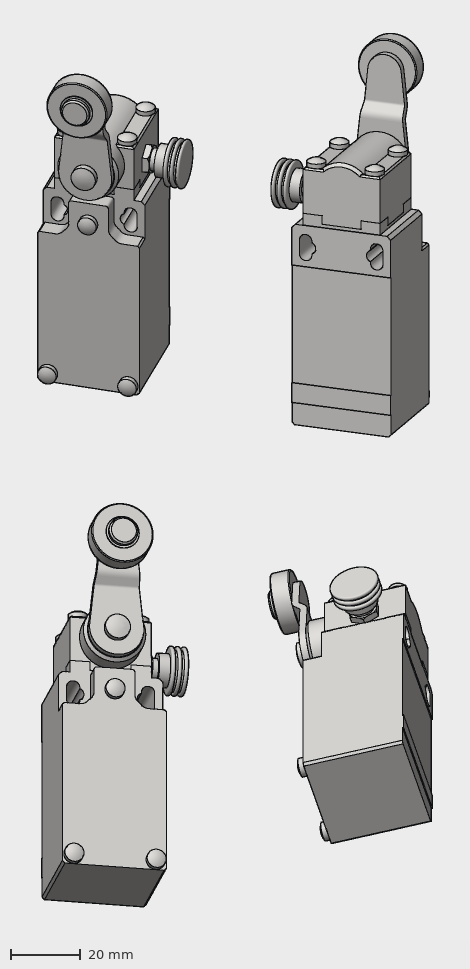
import cadquery as cq
import math


HOUSING_WIDTH = 30.5
HOUSING_DEPTH = 29.7
SHOULDER_Z = 61.2
TOP_CHAMFER = 1.1
BOTTOM_CHAMFER = 0.8

HEAD_WIDTH = 23.9
HEAD_DEPTH = 24.2
HEAD_MID_Y = -HEAD_DEPTH / 2
JOINT_Z = 64.7
DECK_Z = 78.6
HEAD_EDGE_CHAMFER = 0.5
TONGUE_WIDTH = 12.0
TONGUE_Z = 62.1

PAD_HEIGHT = 0.3
UPPER_PAD_Z = 48.6
LOWER_PAD_BOTTOM_Z = 6.8
LOWER_PAD_TOP_Z = 12.8

PANEL_WIDTH = 11.9
PANEL_TOP_FILLET = 0.9
EAR_FLOOR_Z = 49.5
EAR_SLOPE = 2.9
EAR_SLOPE_FILLET = 2.7
EAR_EDGE_CHAMFER = 0.5

SLOT_X = 11.0
SLOT_WIDTH = 3.9
SLOT_LENGTH = 8.0
ROUND_HOLE_X = 9.7
ROUND_HOLE_RADIUS = 1.8
MOUNTING_Z = 54.5

HOUSING_SCREW = (2.8, 1.6, 0.8)
HEAD_SCREW = (2.8, 1.4, 1.1)
PIVOT_SCREW = (3.7, 1.9, 0.6)
BOTTOM_SCREW_X = 12.0
BOTTOM_SCREW_Z = 2.9
HEAD_SCREW_SPACING = 18.1

DRUM_RADIUS = 9.1
DRUM_Z = 72.1
DRUM_FRONT_Y = -30.9
DRUM_CHAMFER = 1.0

KNOB_Z = 68.5
NUT_ACROSS_CORNERS = 9.2
NUT_LENGTH = 2.0
NUT_CORNER_BEVEL = 0.4
STEM_RADIUS = 3.3
STEM_LENGTH = 1.8
COLLAR_RADIUS = 4.9
COLLAR_LENGTH = 3.2
GRIP_LENGTH = 4.9
RIB_RADIUS = 7.2
RIB_CORE_RADIUS = 6.1
RIB_COUNT = 3
RIB_WIDTH = 1.2
RIB_FILLET = 0.5

LEVER_THICKNESS = 2.2
LEVER_OFFSET = 2.6
LEVER_BOTTOM_RADIUS = 8.0
LEVER_TOP_RADIUS = 5.2
BEND_BOTTOM_Z = 85.4
BEND_TOP_Z = 88.5
BEND_INNER_RADIUS = 1.1

ROLLER_RADIUS = 9.0
ROLLER_Z = 107.5 - ROLLER_RADIUS
ROLLER_FRONT_Y = -41.4
ROLLER_CHAMFER = 0.3
WASHER_RADIUS = 4.8
WASHER_THICKNESS = 0.3
PIN_RADIUS = 4.2
PIN_LENGTH = 1.6
PIN_CHAMFER = 0.5


def block(x_range, y_range, z_range):
    """Axis-aligned box between the given limits."""
    sizes = [limits[1] - limits[0] for limits in (x_range, y_range, z_range)]
    corner = (x_range[0], y_range[0], z_range[0])
    return cq.Workplane("XY").box(*sizes, centered=False).translate(corner)


def centred_block(width, y_range, z_range):
    """Box that is symmetrical about X = 0."""
    return block((-width / 2, width / 2), y_range, z_range)


def front_disc(radius, x, z, back_y, front_y):
    """Cylinder along Y."""
    plane = cq.Workplane("XZ", origin=(x, back_y, z))
    return plane.circle(radius).extrude(back_y - front_y)


def side_disc(radius, start_x, length):
    """Cylinder on the knob axis, extending towards +X."""
    plane = cq.Workplane("YZ", origin=(start_x, HEAD_MID_Y, KNOB_Z))
    return plane.circle(radius).extrude(length)


def screw_head(size):
    """Domed screw head standing on the XY plane."""
    radius, side, dome = size
    sphere_radius = (radius**2 + dome**2) / (2 * dome)
    half_angle = math.asin(radius / sphere_radius) / 2
    mid_x = sphere_radius * math.sin(half_angle)
    mid_z = side + dome - sphere_radius * (1 - math.cos(half_angle))
    profile = (
        cq.Workplane("XZ")
        .lineTo(radius, 0)
        .lineTo(radius, side)
        .threePointArc((mid_x, mid_z), (0, side + dome))
        .close()
    )
    return profile.revolve(360, (0, 0, 0), (0, 1, 0))


def front_screw(size, x, y, z):
    """Screw head facing -Y."""
    return screw_head(size).rotate((0, 0, 0), (1, 0, 0), 90).translate((x, y, z))


def tongue_cross():
    """Crossed tongues under the head, which key into the housing neck."""
    z_range = (TONGUE_Z, JOINT_Z)
    along_y = centred_block(TONGUE_WIDTH, (-HEAD_DEPTH, 0), z_range)
    half = TONGUE_WIDTH / 2
    along_x = centred_block(HEAD_WIDTH, (HEAD_MID_Y - half, HEAD_MID_Y + half), z_range)
    return along_y.union(along_x)


def ear_cut():
    """
    Space in front of the ear on the +X side, with a blended slope at its inner bottom corner
    and a bevel where its floor meets the side of the housing.
    """
    inner_x = PANEL_WIDTH / 2
    side_x = HOUSING_WIDTH / 2
    outline = [
        (inner_x, SHOULDER_Z),
        (inner_x, EAR_FLOOR_Z + EAR_SLOPE),
        (inner_x + EAR_SLOPE, EAR_FLOOR_Z),
        (side_x - EAR_EDGE_CHAMFER, EAR_FLOOR_Z),
        (side_x, EAR_FLOOR_Z - EAR_EDGE_CHAMFER),
        (side_x, SHOULDER_Z),
    ]
    cut = cq.Workplane("XZ", origin=(0, -HEAD_DEPTH, 0)).polyline(outline).close()
    cut = cut.extrude(HOUSING_DEPTH - HEAD_DEPTH)
    mid_y = -(HEAD_DEPTH + HOUSING_DEPTH) / 2
    slope_ends = (
        (inner_x, mid_y, EAR_FLOOR_Z + EAR_SLOPE),
        (inner_x + EAR_SLOPE, mid_y, EAR_FLOOR_Z),
    )
    for point in slope_ends:
        cut = cut.edges(cq.selectors.NearestToPointSelector(point)).fillet(EAR_SLOPE_FILLET)
    return cut


def mounting_hole():
    """Through hole in the ear on the +X side."""
    back_y = PAD_HEIGHT
    slot = cq.Workplane("XZ", origin=(SLOT_X, back_y, MOUNTING_Z)).slot2D(SLOT_LENGTH, SLOT_WIDTH, 90)
    slot = slot.extrude(HOUSING_DEPTH)
    return slot.union(front_disc(ROUND_HOLE_RADIUS, ROUND_HOLE_X, MOUNTING_Z, back_y, -HOUSING_DEPTH))


def make_housing():
    body = centred_block(HOUSING_WIDTH, (-HOUSING_DEPTH, 0), (0, SHOULDER_Z))
    pad_y = (0, PAD_HEIGHT)
    body = body.union(centred_block(HOUSING_WIDTH, pad_y, (UPPER_PAD_Z, SHOULDER_Z)))
    body = body.union(centred_block(HOUSING_WIDTH, pad_y, (LOWER_PAD_BOTTOM_Z, LOWER_PAD_TOP_Z)))
    body = body.edges("|Y and >Z").chamfer(TOP_CHAMFER)
    body = body.edges("|Y and <Z").chamfer(BOTTOM_CHAMFER)

    ear = ear_cut()
    hole = mounting_hole()
    for cutter in (ear, hole):
        body = body.cut(cutter).cut(cutter.mirror("YZ"))
    panel_corners = cq.selectors.BoxSelector(
        (-PANEL_WIDTH, -HOUSING_DEPTH, SHOULDER_Z - PANEL_TOP_FILLET),
        (PANEL_WIDTH, -HEAD_DEPTH, SHOULDER_Z + PANEL_TOP_FILLET),
    )
    body = body.edges("|Y").edges(panel_corners).fillet(PANEL_TOP_FILLET)

    neck = centred_block(HEAD_WIDTH, (-HEAD_DEPTH, 0), (SHOULDER_Z, JOINT_Z))
    body = body.union(neck).cut(tongue_cross())

    body = body.union(front_screw(HOUSING_SCREW, 0, -HOUSING_DEPTH, MOUNTING_Z))
    for x in (-BOTTOM_SCREW_X, BOTTOM_SCREW_X):
        body = body.union(front_screw(HOUSING_SCREW, x, -HOUSING_DEPTH, BOTTOM_SCREW_Z))
    return body


def make_nut():
    """Hexagonal nut against the head, with its outer corners bevelled."""
    start_x = HEAD_WIDTH / 2
    plane = cq.Workplane("YZ", origin=(start_x, HEAD_MID_Y, KNOB_Z))
    hexagon = plane.transformed(rotate=(0, 0, 90)).polygon(6, NUT_ACROSS_CORNERS).extrude(NUT_LENGTH)
    envelope = side_disc(NUT_ACROSS_CORNERS / 2, start_x, NUT_LENGTH)
    return hexagon.intersect(envelope.faces(">X").chamfer(NUT_CORNER_BEVEL))


def make_knob():
    """Nut, stem, collar and ribbed grip standing on the +X side of the head."""
    stem_x = HEAD_WIDTH / 2 + NUT_LENGTH
    collar_x = stem_x + STEM_LENGTH
    grip_x = collar_x + COLLAR_LENGTH
    rib_pitch = (GRIP_LENGTH - RIB_WIDTH) / (RIB_COUNT - 1)
    knob = make_nut()
    knob = knob.union(side_disc(STEM_RADIUS, stem_x, STEM_LENGTH))
    knob = knob.union(side_disc(COLLAR_RADIUS, collar_x, COLLAR_LENGTH))
    knob = knob.union(side_disc(RIB_CORE_RADIUS, grip_x, GRIP_LENGTH))
    for index in range(RIB_COUNT):
        rib = side_disc(RIB_RADIUS, grip_x + index * rib_pitch, RIB_WIDTH)
        knob = knob.union(rib.edges().fillet(RIB_FILLET))
    return knob


def make_head():
    head = centred_block(HEAD_WIDTH, (-HEAD_DEPTH, 0), (JOINT_Z, DECK_Z))
    head = head.faces(">Z").chamfer(HEAD_EDGE_CHAMFER)
    head = head.union(tongue_cross())
    drum = front_disc(DRUM_RADIUS, 0, DRUM_Z, 0, DRUM_FRONT_Y)
    head = head.union(drum.edges().chamfer(DRUM_CHAMFER))
    head = head.union(make_knob())
    half = HEAD_SCREW_SPACING / 2
    for x in (-half, half):
        for y in (HEAD_MID_Y - half, HEAD_MID_Y + half):
            head = head.union(screw_head(HEAD_SCREW).translate((x, y, DECK_Z)))
    return head


def lever_outline():
    """Tapered block as deep as the whole lever: two round ends joined by tangent sides."""
    spacing = ROLLER_Z - DRUM_Z
    tangent_sin = (LEVER_BOTTOM_RADIUS - LEVER_TOP_RADIUS) / spacing
    tangent_cos = math.sqrt(1 - tangent_sin**2)
    bottom_x = LEVER_BOTTOM_RADIUS * tangent_cos
    bottom_z = DRUM_Z + LEVER_BOTTOM_RADIUS * tangent_sin
    top_x = LEVER_TOP_RADIUS * tangent_cos
    top_z = ROLLER_Z + LEVER_TOP_RADIUS * tangent_sin
    return (
        cq.Workplane("XZ", origin=(0, DRUM_FRONT_Y, 0))
        .moveTo(bottom_x, bottom_z)
        .lineTo(top_x, top_z)
        .threePointArc((0, ROLLER_Z + LEVER_TOP_RADIUS), (-top_x, top_z))
        .lineTo(-bottom_x, bottom_z)
        .threePointArc((0, DRUM_Z - LEVER_BOTTOM_RADIUS), (bottom_x, bottom_z))
        .close()
        .extrude(LEVER_THICKNESS + LEVER_OFFSET)
    )


def lever_sheet():
    """Bent sheet, wider and taller than the finished lever."""
    bottom_z = DRUM_Z - 2 * LEVER_BOTTOM_RADIUS
    top_z = ROLLER_Z + 2 * LEVER_TOP_RADIUS
    lower_back = DRUM_FRONT_Y
    upper_back = lower_back - LEVER_OFFSET
    lower_front = lower_back - LEVER_THICKNESS
    upper_front = upper_back - LEVER_THICKNESS
    slope_angle = math.atan2(LEVER_OFFSET, BEND_TOP_Z - BEND_BOTTOM_Z)
    shift = LEVER_THICKNESS * math.tan(slope_angle / 2) / 2
    outline = [
        (lower_back, bottom_z),
        (lower_back, BEND_BOTTOM_Z + shift),
        (upper_back, BEND_TOP_Z + shift),
        (upper_back, top_z),
        (upper_front, top_z),
        (upper_front, BEND_TOP_Z - shift),
        (lower_front, BEND_BOTTOM_Z - shift),
        (lower_front, bottom_z),
    ]
    sheet = cq.Workplane("YZ").polyline(outline).close().extrude(2 * LEVER_BOTTOM_RADIUS, both=True)
    bend_radii = (
        (outline[1], BEND_INNER_RADIUS + LEVER_THICKNESS),
        (outline[2], BEND_INNER_RADIUS),
        (outline[5], BEND_INNER_RADIUS + LEVER_THICKNESS),
        (outline[6], BEND_INNER_RADIUS),
    )
    for (y, z), radius in bend_radii:
        corner = cq.selectors.NearestToPointSelector((0, y, z))
        sheet = sheet.edges("|X").edges(corner).fillet(radius)
    return sheet


def make_lever():
    lever = lever_outline().intersect(lever_sheet())
    lever = lever.union(front_screw(PIVOT_SCREW, 0, DRUM_FRONT_Y - LEVER_THICKNESS, DRUM_Z))

    roller_back_y = DRUM_FRONT_Y - LEVER_OFFSET - LEVER_THICKNESS
    roller = front_disc(ROLLER_RADIUS, 0, ROLLER_Z, roller_back_y, ROLLER_FRONT_Y)
    lever = lever.union(roller.edges().chamfer(ROLLER_CHAMFER))

    washer_front_y = ROLLER_FRONT_Y - WASHER_THICKNESS
    pin_front_y = washer_front_y - PIN_LENGTH
    lever = lever.union(front_disc(WASHER_RADIUS, 0, ROLLER_Z, ROLLER_FRONT_Y, washer_front_y))
    pin = front_disc(PIN_RADIUS, 0, ROLLER_Z, washer_front_y, pin_front_y)
    return lever.union(pin.faces("<Y").edges().chamfer(PIN_CHAMFER))


housing = make_housing().solids()
head = make_head().solids()
lever = make_lever().solids()
result = cq.Compound.makeCompound([housing.val(), head.val(), lever.val()])